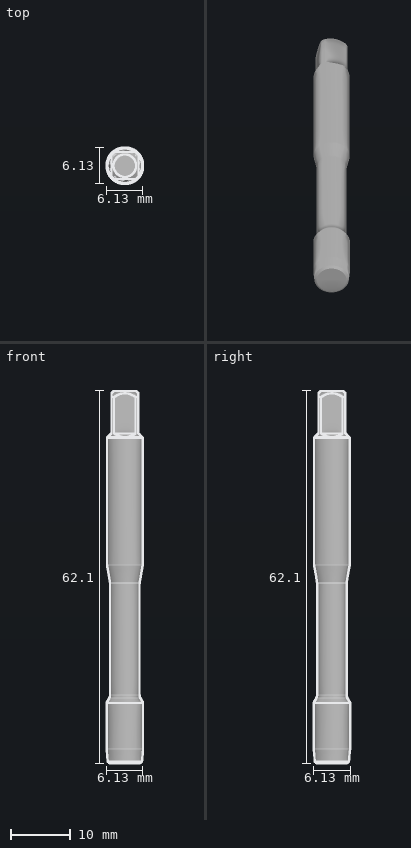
import cadquery as cq
import math


thread_diameter = 6.13
lead_diameter = 5.76
tip_diameter = 4.96
tip_chamfer_height = 0.33
lead_top = 2.4
thread_top = 10.1

overall_length = 62.1
neck_diameter = 4.96
neck_fillet = 1.0
thread_cone_angle = 30
taper_angle = 9.8
taper_top = 33.1
shank_diameter = 6.0

square_width = 4.5
square_length = 7.05
square_corner_diameter = 5.76
end_chamfer = 1.0

neck_bottom = thread_top + (thread_diameter - neck_diameter) / 2 / math.tan(math.radians(thread_cone_angle))
neck_top = taper_top - (shank_diameter - neck_diameter) / 2 / math.tan(math.radians(taper_angle))
square_bottom = overall_length - square_length
shank_top = square_bottom - (shank_diameter - square_width) / 2
shoulder_top = shank_top + (shank_diameter - square_corner_diameter) / 2
end_chamfer_bottom = overall_length - end_chamfer
end_face_diameter = square_corner_diameter - 2 * end_chamfer


def turned(stations):
    """Revolve a profile given as (diameter, height) stations from bottom to top."""
    bottom = stations[0][1]
    top = stations[-1][1]
    rim = [(diameter / 2, height) for diameter, height in stations]
    outline = [(0, bottom)] + rim + [(0, top)]
    return cq.Workplane("XZ").polyline(outline).close().revolve(360, (0, 0), (0, 1))


def circle_edge_at(height):
    """Selector for the circular edge lying in the plane at the given height."""
    reach = shank_diameter
    margin = 0.01
    return cq.selectors.BoxSelector(
        (-reach, -reach, height - margin),
        (reach, reach, height + margin),
        boundingbox=True,
    )


def drive_flat_cutter():
    """Material removed beside one flat of the square, with a 45 degree run-out at its foot."""
    flat = square_width / 2
    outer = shank_diameter
    outline = [
        (flat, overall_length),
        (flat, square_bottom),
        (outer, square_bottom - (outer - flat)),
        (outer, overall_length),
    ]
    return cq.Workplane("XZ").polyline(outline).close().extrude(shank_diameter, both=True)


def make_head():
    """Threaded head: chamfered tip, tapered lead and full-diameter thread."""
    return turned([
        (tip_diameter, 0),
        (lead_diameter, tip_chamfer_height),
        (thread_diameter, lead_top),
        (thread_diameter, thread_top),
    ])


def make_shank():
    """Neck with filleted cones at both ends, full shank and square drive."""
    shank = turned([
        (thread_diameter, thread_top),
        (neck_diameter, neck_bottom),
        (neck_diameter, neck_top),
        (shank_diameter, taper_top),
        (shank_diameter, shank_top),
        (square_corner_diameter, shoulder_top),
        (square_corner_diameter, end_chamfer_bottom),
        (end_face_diameter, overall_length),
    ])
    for height in (neck_bottom, neck_top):
        shank = shank.edges(circle_edge_at(height)).fillet(neck_fillet)
    for angle in (0, 90, 180, 270):
        shank = shank.cut(drive_flat_cutter().rotate((0, 0, 0), (0, 0, 1), angle))
    return shank


head = make_head()
shank = make_shank()

result = cq.Compound.makeCompound([head.val(), shank.val()])